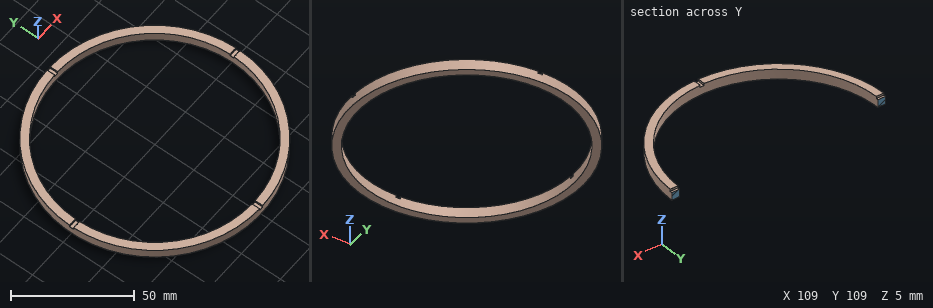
import cadquery as cq

outer_diameter = 109.0
wall_thickness = 4.0
height = 5.0

slot_width = 2.0
slot_depth = 1.0

inner_diameter = outer_diameter - 2 * wall_thickness


def make_ring():
    """Plain ring standing on the XY plane, centred on the Z axis."""
    return cq.Workplane("XY").circle(outer_diameter / 2).circle(inner_diameter / 2).extrude(height)


def make_slot_bar(angle):
    """Bar across the full diameter; it cuts two opposite slots in the top face."""
    return (
        cq.Workplane("XY", origin=(0, 0, height - slot_depth))
        .transformed(rotate=(0, 0, angle))
        .rect(outer_diameter + slot_width, slot_width)
        .extrude(slot_depth)
    )


result = make_ring()
for bar_angle in (0, 90):
    result = result.cut(make_slot_bar(bar_angle))